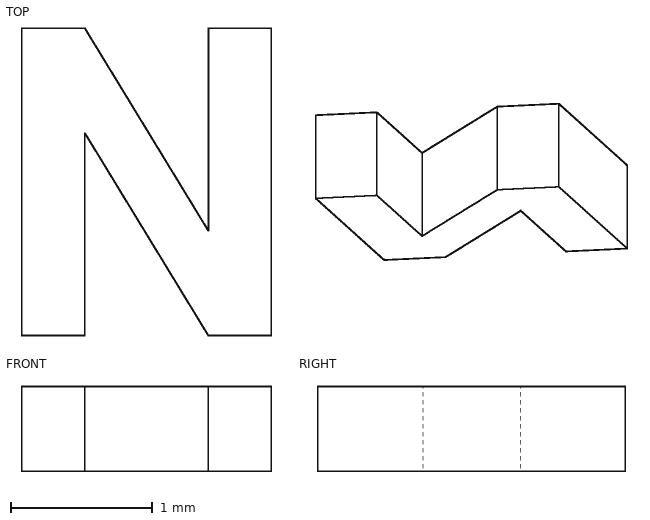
import cadquery as cq

width = 1.76
height = 2.17
thickness = 0.6

left_stem_width = 0.445
right_stem_width = 0.444
notch_depth = 1.428

right = width / 2
left = -right
top = height / 2
bottom = -top
left_stem_inner = left + left_stem_width
right_stem_inner = right - right_stem_width


def letter_block():
    """Extrude the N outline, going clockwise from the lower left corner."""
    outline = [
        (left, bottom),
        (left, top),
        (left_stem_inner, top),
        (right_stem_inner, top - notch_depth),
        (right_stem_inner, top),
        (right, top),
        (right, bottom),
        (right_stem_inner, bottom),
        (left_stem_inner, bottom + notch_depth),
        (left_stem_inner, bottom),
    ]
    return cq.Workplane("XY").polyline(outline).close().extrude(thickness)


result = letter_block()